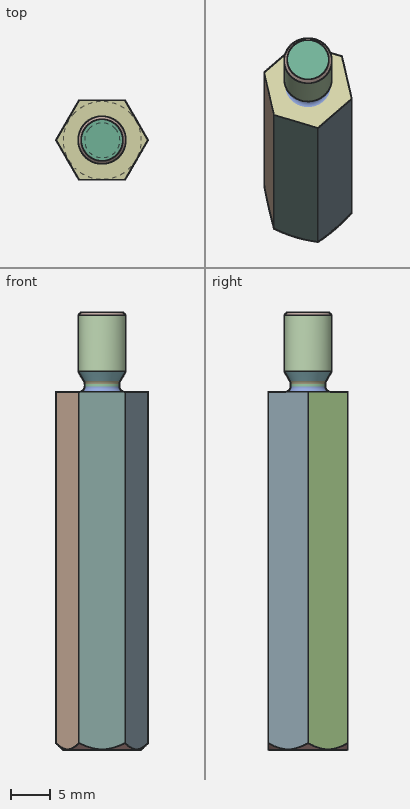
import cadquery as cq
import math

total_length = 55.0
body_length = 45.0
across_flats = 10.0
end_face_diameter = 9.8
stud_diameter = 6.0
tip_diameter = 5.2
tip_chamfer_height = 0.4
neck_diameter = 4.4
neck_fillet = 0.65
neck_straight_length = 0.35
runout_angle = math.radians(30)

corner_radius = across_flats / math.sqrt(3)


def make_body():
    """Hexagonal bar with corners along X and a 45-degree turned bottom end."""
    hexagon = cq.Workplane("XY").polygon(6, 2 * corner_radius).extrude(body_length)
    end_radius = end_face_diameter / 2
    chamfer_height = corner_radius - end_radius
    turned_envelope = (
        cq.Workplane("XZ")
        .moveTo(0, 0)
        .lineTo(end_radius, 0)
        .lineTo(corner_radius, chamfer_height)
        .lineTo(corner_radius, body_length)
        .lineTo(0, body_length)
        .close()
        .revolve(360, (0, 0, 0), (0, 1, 0))
    )
    return hexagon.intersect(turned_envelope)


def make_stud():
    """Stud with a filleted undercut neck, a conical run-out and a chamfered tip."""
    stud_radius = stud_diameter / 2
    neck_radius = neck_diameter / 2
    fillet_center_radius = neck_radius + neck_fillet

    def fillet_point(center_z, angle):
        return (
            fillet_center_radius - neck_fillet * math.cos(angle),
            center_z + neck_fillet * math.sin(angle),
        )

    neck_bottom = body_length + neck_fillet
    neck_top = neck_bottom + neck_straight_length
    cone_start = fillet_point(neck_top, runout_angle)
    cone_top = cone_start[1] + (stud_radius - cone_start[0]) / math.tan(runout_angle)

    return (
        cq.Workplane("XZ")
        .moveTo(0, body_length)
        .lineTo(fillet_center_radius, body_length)
        .threePointArc(fillet_point(neck_bottom, -math.pi / 4), (neck_radius, neck_bottom))
        .lineTo(neck_radius, neck_top)
        .threePointArc(fillet_point(neck_top, runout_angle / 2), cone_start)
        .lineTo(stud_radius, cone_top)
        .lineTo(stud_radius, total_length - tip_chamfer_height)
        .lineTo(tip_diameter / 2, total_length)
        .lineTo(0, total_length)
        .close()
        .revolve(360, (0, 0, 0), (0, 1, 0))
    )


result = make_body().union(make_stud())